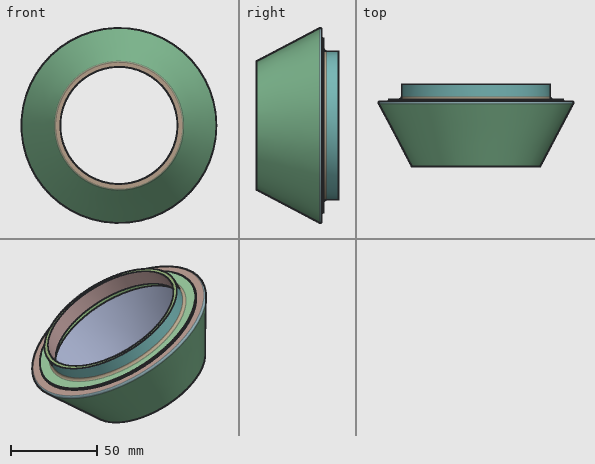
import cadquery as cq
import math

total_length = 47.7
rim_radius = 56.5

shell_length = 38.0
cone_front_radius = 37.2
front_bore_radius = 33.7
rear_wall = 3.3
rear_opening_radius = 42.8
rim_round = 1.0
front_edge_round = 0.7
bore_edge_round = 0.2

flange_radius = 50.6
flange_thickness = 1.1
flange_foot = 0.3
collar_radius = 43.1
collar_bore_radius = 40.8
root_fillet = 1.5

round_center_radius = rim_radius - rim_round
round_center_y = shell_length - rim_round
half_angle = math.atan((rim_radius - cone_front_radius) / round_center_y)
cone_end_radius = round_center_radius + rim_round * math.cos(half_angle)
cone_end_y = round_center_y - rim_round * math.sin(half_angle)
cone_slope = (cone_end_radius - cone_front_radius) / cone_end_y


def revolve_about_y(profile):
    """Revolve a closed profile in the XY plane about the Y axis."""
    return profile.revolve(360, (0, 0, 0), (0, 1, 0))


def make_shell():
    """Tapered cup with a straight taper, a rounded rim and a central opening in its rear wall."""
    wall_front = shell_length - rear_wall
    bore_rear_radius = front_bore_radius + cone_slope * wall_front
    profile = (
        cq.Workplane("XY")
        .moveTo(front_bore_radius, 0)
        .lineTo(cone_front_radius, 0)
        .lineTo(cone_end_radius, cone_end_y)
        .threePointArc((rim_radius, round_center_y), (round_center_radius, shell_length))
        .lineTo(rear_opening_radius, shell_length)
        .lineTo(rear_opening_radius, wall_front)
        .lineTo(bore_rear_radius, wall_front)
        .close()
    )
    shell = revolve_about_y(profile)
    outer_edge = cq.selectors.RadiusNthSelector(-1)
    shell = shell.faces("<Y").edges(outer_edge).fillet(front_edge_round)
    inner_edge = cq.selectors.RadiusNthSelector(0)
    return shell.faces("<Y").edges(inner_edge).fillet(bore_edge_round)


def make_collar():
    """Tubular collar with a filleted root and a thin flange that flares slightly at its foot."""
    flange_back = shell_length + flange_thickness
    profile = (
        cq.Workplane("XY")
        .moveTo(collar_bore_radius, shell_length)
        .lineTo(flange_radius + flange_foot, shell_length)
        .lineTo(flange_radius, shell_length + flange_foot)
        .lineTo(flange_radius, flange_back)
        .lineTo(collar_radius + root_fillet, flange_back)
        .radiusArc((collar_radius, flange_back + root_fillet), root_fillet)
        .lineTo(collar_radius, total_length)
        .lineTo(collar_bore_radius, total_length)
        .close()
    )
    return revolve_about_y(profile)


shell = make_shell()
collar = make_collar()
result = cq.Compound.makeCompound([shell.val(), collar.val()])